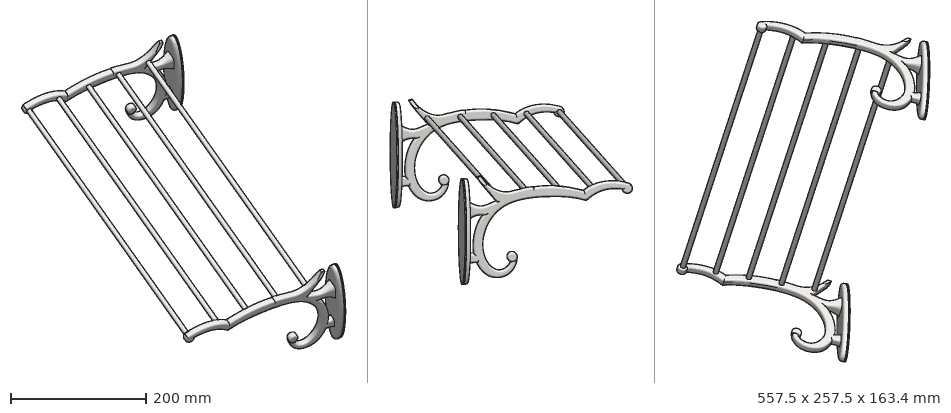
import cadquery as cq


overall_width = 557.45
overall_depth = 257.5
overall_height = 163.44
plate_width = 50.5
plate_height = 160.5
bracket_x = (overall_width - plate_width) / 2

rim_thickness = 1.8
groove_width = 0.8
groove_depth = 0.8
plate_thickness = 9.5
plate_edge_radius = 4.5

bracket_thickness = 11.6
limb_edge_radius = 3.0
horn_edge_radius = 2.5
horn_tip_width = 5.0
horn_taper_length = 13.0
dip_top = (184.5, 133.8)
dip_bottom = (187.5, 119.2)
curl_center = (76.2, 38.6)
curl_radius = 7.4

rod_diameter = 8.0
rod_pitch = 50.0
rod_count = 5
rod_height = 134.8
nose_radius = 7.5
nose_center = (overall_depth - nose_radius, rod_height)

strut_embed = 1.0
upper_strut = [
    (plate_thickness - strut_embed, 22.5, 98.5, 125.5, 5.5),
    (22.0, 14.0, 104.3, 119.0, 4.0),
    (33.0, bracket_thickness, 104.5, 117.5, limb_edge_radius),
    (45.0, bracket_thickness, 106.0, 121.2, limb_edge_radius),
    (58.0, bracket_thickness, 115.0, 126.0, limb_edge_radius),
]
lower_strut = [
    (plate_thickness - strut_embed, 14.7, 30.5, 49.0, 4.0),
    (15.0, bracket_thickness, 32.7, 46.5, limb_edge_radius),
    (24.0, bracket_thickness, 32.7, 46.5, limb_edge_radius),
]


def ellipse_slab(start, thickness, inset=0.0):
    """Elliptical slab standing on the wall, from `start` outwards."""
    return (
        cq.Workplane("XZ", origin=(0, -start, plate_height / 2))
        .ellipse(plate_width / 2 - inset, plate_height / 2 - inset)
        .extrude(thickness)
    )


def wall_plate():
    """Grooved oval plate with its back on the wall."""
    rim = ellipse_slab(0, rim_thickness)
    neck = ellipse_slab(rim_thickness, groove_width, groove_depth)
    body_start = rim_thickness + groove_width
    body = ellipse_slab(body_start, plate_thickness - body_start)
    body = body.faces("<Y").edges().fillet(plate_edge_radius)
    return rim.union(neck).union(body)


def bracket_plane():
    """Sketch plane whose local axes are reach and height, centred on the bracket."""
    return cq.Workplane(cq.Plane(origin=(0, 0, 0), xDir=(0, -1, 0), normal=(-1, 0, 0)))


def rounded_disc(center, radius):
    """Round end of a limb, as thick as the bracket."""
    disc = bracket_plane().center(*center).circle(radius).extrude(bracket_thickness / 2, both=True)
    return disc.edges("%CIRCLE").fillet(limb_edge_radius)


def rounded_limb(first_side, second_side, edge_radius):
    """Flat limb between two smooth curves, given as point lists running the same way.

    Straight ends join the two curves; only the long edges are rounded.
    """
    outline = (
        bracket_plane()
        .moveTo(*first_side[0])
        .spline(first_side[1:], includeCurrent=True)
        .lineTo(*second_side[-1])
        .spline(second_side[-2::-1], includeCurrent=True)
        .close()
    )
    limb = outline.extrude(bracket_thickness / 2, both=True)
    return limb.faces("<X or >X").edges("%BSPLINE").fillet(edge_radius)


def arm_and_hook():
    """Main limb: from the dip back along the arm, then down and round to the curl."""
    outer_side = [
        dip_top, (166.0, 139.0), (127.5, 143.6), (90.0, 140.3), (62.0, 132.0), (46.0, 117.5),
        (33.0, 104.5), (25.0, 92.0), (18.6, 70.0), (18.6, 45.0), (25.0, 27.5), (38.0, 13.0), (54.0, 8.4),
        (70.0, 13.0), (79.0, 22.5), (83.0, 34.0),
    ]
    inner_side = [
        dip_bottom, (168.0, 124.5), (128.0, 128.0), (92.0, 125.7), (62.0, 115.5), (43.7, 98.0),
        (34.0, 77.0), (31.6, 60.0), (34.2, 42.5), (43.0, 27.0), (57.5, 19.0), (68.5, 23.0),
        (74.0, 32.0),
    ]
    return rounded_limb(outer_side, inner_side, limb_edge_radius)


def nose():
    """Short wave from the dip out to the rounded front end."""
    upper_side = [dip_top, (198.0, 141.5), (214.0, 145.8), (232.0, 146.2), (255.0, 140.5)]
    lower_side = [dip_bottom, (200.0, 128.2), (215.5, 134.2), (231.0, 135.3), (248.0, 133.0)]
    return rounded_limb(upper_side, lower_side, limb_edge_radius)


def horn():
    """Spike that sweeps up from the top of the arm to a blunt tip."""
    front_side = [
        (28.7, overall_height), (39.5, 150.5), (52.0, 141.5), (67.0, 137.0), (90.0, 140.3), (108.0, 142.8),
    ]
    back_side = [
        (23.4, 162.0), (29.0, 152.5), (43.0, 135.5), (56.0, 122.5), (75.0, 125.0), (108.0, 130.0),
    ]
    spike = rounded_limb(front_side, back_side, horn_edge_radius)
    shoulder = overall_height - horn_taper_length
    tip_envelope = (
        cq.Workplane("XZ")
        .moveTo(-bracket_thickness / 2, 0)
        .lineTo(-bracket_thickness / 2, shoulder)
        .lineTo(-horn_tip_width / 2, overall_height)
        .lineTo(horn_tip_width / 2, overall_height)
        .lineTo(bracket_thickness / 2, shoulder)
        .lineTo(bracket_thickness / 2, 0)
        .close()
        .extrude(overall_depth)
    )
    return spike.intersect(tip_envelope)


def flare(sections):
    """Strut that widens smoothly from the bracket to the plate."""
    sketches = []
    for reach, width, bottom, top, corner_radius in sections:
        place = cq.Location(cq.Vector(0, (bottom + top) / 2, reach))
        section = cq.Sketch().rect(width, top - bottom).vertices().fillet(corner_radius)
        sketches.append(section.moved(place))
    return cq.Workplane("XZ").placeSketch(*sketches).loft()


def bracket():
    """One side bracket with its wall plate, centred on X = 0."""
    body = arm_and_hook().union(nose()).union(horn())
    body = body.union(rounded_disc(nose_center, nose_radius))
    body = body.union(rounded_disc(curl_center, curl_radius))
    body = body.union(flare(upper_strut))
    body = body.union(flare(lower_strut))
    return body.union(wall_plate())


def rods():
    """Round bars between the middles of the two brackets."""
    reaches = [(index + 1) * rod_pitch for index in range(rod_count)]
    start = cq.Workplane("YZ", origin=(-bracket_x, 0, rod_height))
    start = start.pushPoints([(-reach, 0) for reach in reaches])
    return start.circle(rod_diameter / 2).extrude(2 * bracket_x)


side = bracket()
left_side = side.translate((-bracket_x, 0, 0))
right_side = side.translate((bracket_x, 0, 0))
result = rods().union(left_side).union(right_side)